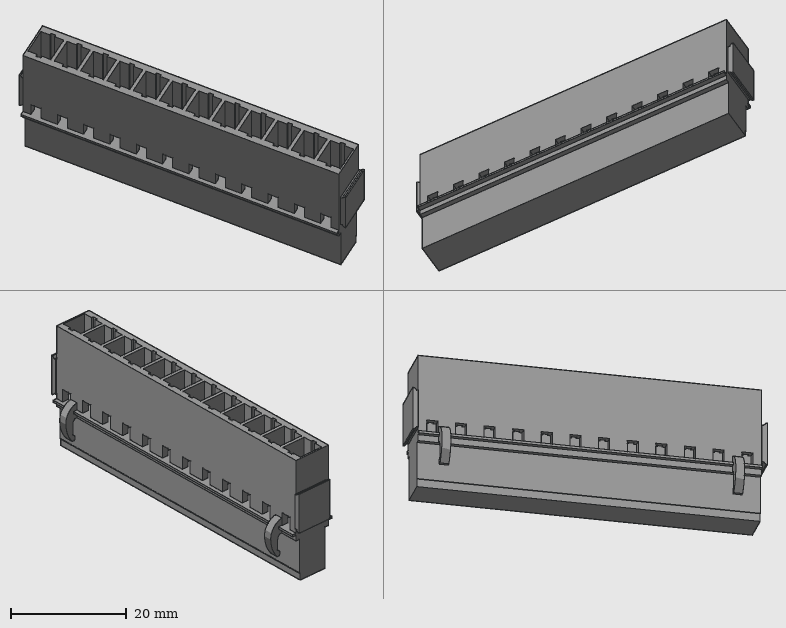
import cadquery as cq

body_length = 60.95
total_height = 24.55
upper_depth = 7.6
lower_depth = 6.05
shoulder_z = 8.3

relief_depth = 0.2
relief_height = 1.45

flange_depth = 9.2
flange_bottom = 9.45
flange_top = 9.9

pole_count = 12
pitch = body_length / pole_count
cavity_width = 4.4
cavity_depth = 5.0
keyway_width = 0.9
keyway_span = 5.8

window_width = 1.95
window_height = 2.5

overall_length = 62.95
wing_bottom = 10.4
wing_top = 18.25
wing_front = -3.2
wing_back = 4.0
wing_lip = 0.25
wing_taper = 0.45

hook_width = 1.6
hook_offset = 26.05
overall_depth = 11.0
hook_reach = overall_depth - flange_depth / 2
hook_top = 11.35
hook_crest = 8.2
hook_root_reach = 4.3
hook_inner_reach = 4.8
hook_inner_top = 7.3
hook_inner_bottom = 5.2

tip_bottom = 3.95
tip_back_reach = 4.9
tip_front_reach = 4.35
barb_reach = 4.2
barb_top = 4.9
barb_bottom = 4.6


def block(length, depth, bottom, top):
    """Box centred in X and Y between two heights."""
    return cq.Workplane("XY").workplane(offset=bottom).rect(length, depth).extrude(top - bottom)


def make_housing():
    """Plug, upper block and flange, with the rear face relieved at the bottom."""
    plug = block(body_length, lower_depth, 0, shoulder_z)
    upper = block(body_length, upper_depth, shoulder_z, total_height)
    flange = block(body_length, flange_depth, flange_bottom, flange_top)
    relief = block(body_length, relief_depth * 2, 0, relief_height).translate((0, lower_depth / 2, 0))
    return plug.union(upper).union(flange).cut(relief)


def make_pole_cutter():
    """Cavity with two keyways and a pair of wall windows, for one pole."""
    cavity = block(cavity_width, cavity_depth, flange_top, total_height)
    keyways = block(keyway_width, keyway_span, flange_top, total_height)
    windows = block(window_width, upper_depth, flange_top, flange_top + window_height)
    return cavity.union(keyways).union(windows)


def make_wing():
    """Wing on the +X end: a plate with its edges tapering in towards the body."""
    body_end = body_length / 2
    outer_end = overall_length / 2
    lip_end = outer_end - wing_lip
    neck_end = lip_end - wing_taper
    neck_bottom = wing_bottom + wing_taper
    neck_top = wing_top - wing_taper
    outline = [
        (body_end, neck_bottom),
        (neck_end, neck_bottom),
        (lip_end, wing_bottom),
        (outer_end, wing_bottom),
        (outer_end, wing_top),
        (lip_end, wing_top),
        (neck_end, neck_top),
        (body_end, neck_top),
    ]
    return (
        cq.Workplane("XZ", origin=(0, wing_back, 0))
        .polyline(outline)
        .close()
        .extrude(wing_back - wing_front)
    )


def arc_radius(inset, rise):
    """Radius of an arc that runs vertically at one end and moves inward over the rise."""
    return (inset**2 + rise**2) / (2 * inset)


def make_hook():
    """Curved latch hanging from the rear wall, centred on X = 0."""
    wall = upper_depth / 2
    upper_radius = arc_radius(hook_reach - wall, hook_top - hook_crest)
    lower_radius = arc_radius(hook_reach - tip_back_reach, hook_crest - tip_bottom)
    inner_radius = arc_radius(hook_inner_reach - hook_root_reach, shoulder_z - hook_inner_top)
    return (
        cq.Workplane("YZ", origin=(-hook_width / 2, 0, 0))
        .moveTo(wall, hook_top)
        .radiusArc((hook_reach, hook_crest), upper_radius)
        .radiusArc((tip_back_reach, tip_bottom), lower_radius)
        .lineTo(tip_front_reach, tip_bottom)
        .lineTo(barb_reach, barb_bottom)
        .lineTo(tip_front_reach, barb_top)
        .lineTo(hook_inner_reach, hook_inner_bottom)
        .lineTo(hook_inner_reach, hook_inner_top)
        .radiusArc((hook_root_reach, shoulder_z), -inner_radius)
        .lineTo(wall, shoulder_z)
        .close()
        .extrude(hook_width)
    )


result = make_housing()

for side in (-1, 1):
    result = result.union(make_hook().translate((side * hook_offset, 0, 0)))

wing = make_wing()
result = result.union(wing).union(wing.mirror("YZ"))

pole_cutter = make_pole_cutter()
for pole in range(pole_count):
    pole_x = (pole - (pole_count - 1) / 2) * pitch
    result = result.cut(pole_cutter.translate((pole_x, 0, 0)))